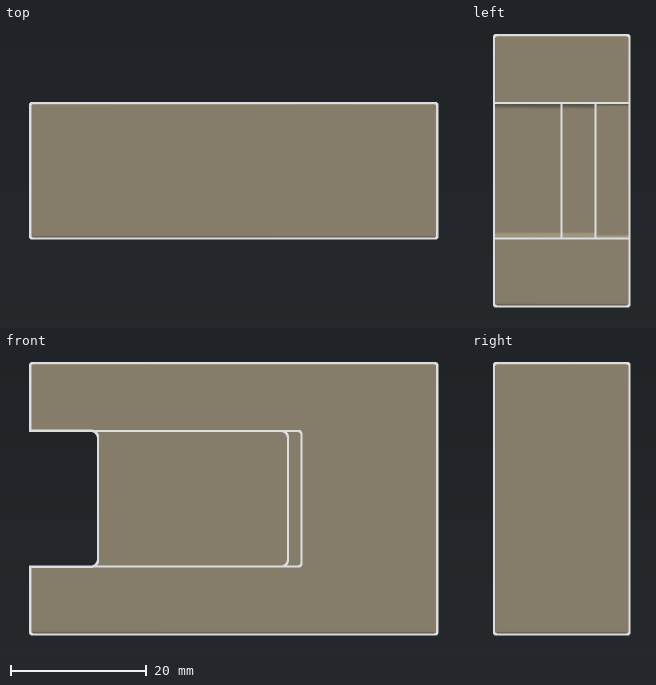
import cadquery as cq

length = 60.0
depth = length / 3
height = length * 2 / 3
edge_radius = 0.4

slot_height = height / 2
front_depth = depth / 4
front_end = length * 2 / 3
front_corner_radius = 0.6
middle_depth = depth / 2
middle_end = 38.0
back_end = length / 6
inner_corner_radius = 1.0


def slot_cutter(end, cut_depth, corner_radius):
    """Slot from the open end to X = end, cut from the front face, with rounded far corners."""
    overrun = length / 10
    return (
        cq.Workplane("XY")
        .box(end + overrun, cut_depth + overrun, slot_height, centered=(False, False, True))
        .translate((-overrun, -overrun, 0))
        .edges("|Y and >X")
        .fillet(corner_radius)
    )


block = (
    cq.Workplane("XY")
    .box(length, depth, height, centered=(False, False, True))
    .edges()
    .fillet(edge_radius)
)

result = (
    block
    .cut(slot_cutter(front_end, front_depth, front_corner_radius))
    .cut(slot_cutter(middle_end, middle_depth, inner_corner_radius))
    .cut(slot_cutter(back_end, depth, inner_corner_radius))
)